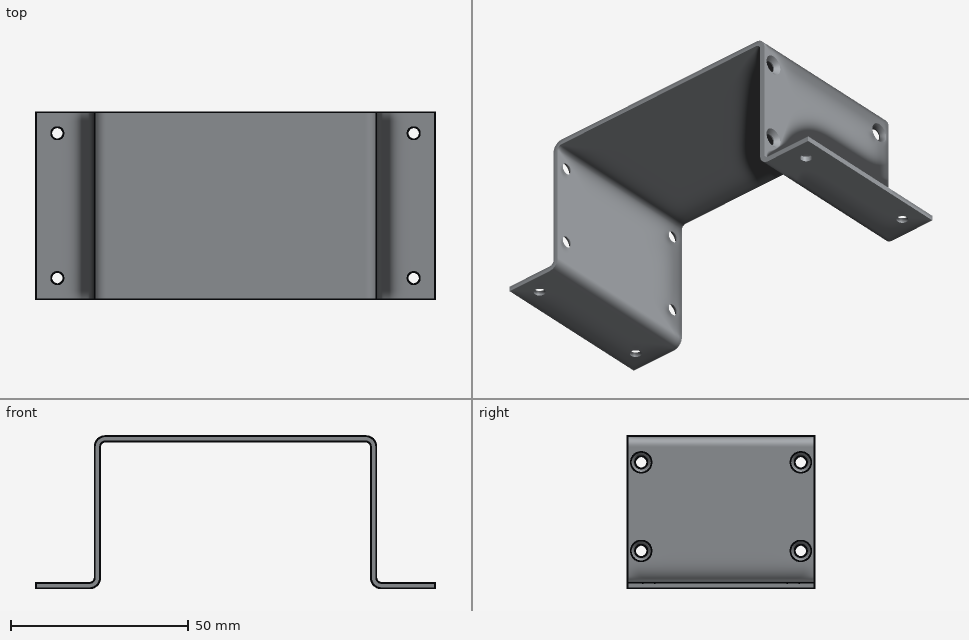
import cadquery as cq

length = 112.6
width = 52.8
height = 43.0

sheet = 1.6
inner_radius = 1.5
outer_radius = inner_radius + sheet
body_length = 79.5

hole_diameter = 3.4
sink_diameter = 5.9
sink_angle = 90.0
foot_hole_spacing_x = 100.6
foot_hole_spacing_y = 40.9
wall_hole_spacing_y = 45.1
wall_hole_spacing_z = 25.0
wall_hole_center_z = 23.1

half_length = length / 2
wall_outside = body_length / 2
wall_inside = wall_outside - sheet
foot_bend_x = wall_outside + inner_radius
top_bend_x = wall_outside - outer_radius
top_bend_z = height - outer_radius
foot_bend_z = outer_radius


def half_bracket():
    """Right half of the hat-shaped sheet, cut at the YZ plane."""
    profile = (
        cq.Workplane("XZ")
        .moveTo(0, height)
        .lineTo(top_bend_x, height)
        .tangentArcPoint((wall_outside, top_bend_z), relative=False)
        .lineTo(wall_outside, foot_bend_z)
        .tangentArcPoint((foot_bend_x, sheet), relative=False)
        .lineTo(half_length, sheet)
        .lineTo(half_length, 0)
        .lineTo(foot_bend_x, 0)
        .tangentArcPoint((wall_inside, foot_bend_z), relative=False)
        .lineTo(wall_inside, top_bend_z)
        .tangentArcPoint((top_bend_x, height - sheet), relative=False)
        .lineTo(0, height - sheet)
        .close()
    )
    return profile.extrude(width / 2, both=True)


def drill_foot_holes(body):
    """Four plain holes through the mounting feet."""
    drills = (
        cq.Workplane("XY")
        .rarray(foot_hole_spacing_x, foot_hole_spacing_y, 2, 2)
        .circle(hole_diameter / 2)
        .extrude(sheet)
    )
    return body.cut(drills)


def drill_wall_holes(body):
    """Four holes in each wall, countersunk from the outside."""
    for side in (-1, 1):
        outer_face = cq.Plane(
            origin=(side * wall_outside, 0, wall_hole_center_z),
            xDir=(0, 1, 0),
            normal=(side, 0, 0),
        )
        body = (
            body.copyWorkplane(cq.Workplane(outer_face))
            .rarray(wall_hole_spacing_y, wall_hole_spacing_z, 2, 2)
            .cskHole(hole_diameter, sink_diameter, sink_angle, depth=2 * sheet)
        )
    return body


right_half = half_bracket()
bracket = right_half.union(right_half.mirror("YZ")).clean()
result = drill_wall_holes(drill_foot_holes(bracket))